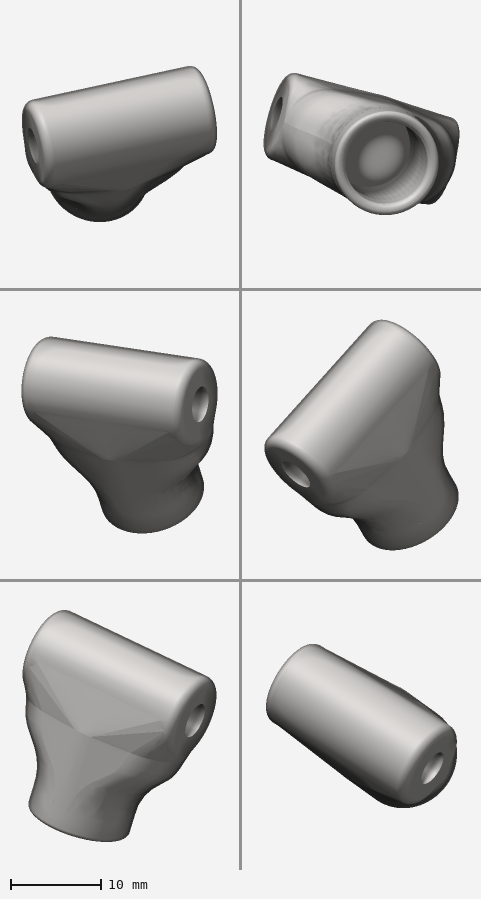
import cadquery as cq
import math

LEAN_ANGLE = 30.0

BARREL_RADIUS = 5.0
BARREL_LENGTH = 20.0
BARREL_FILLET = 1.0
PIN_HOLE_DIAMETER = 4.0

TUBE_RADIUS = 11.68 / 2
TUBE_END_DROP = 16.68
BORE_RADIUS = 9.14 / 2
BORE_TOP_DROP = BARREL_RADIUS

RIM_ROUND = 0.47
MOUTH_RADIUS = 4.93
MOUTH_DEPTH = 0.13
FLARE_RADIUS = 4.64
FLARE_DEPTH = 0.46
FLARE_END_DEPTH = 0.8

SHOULDER_DROP = 4.84
TAPER_SLOPE = 0.29
NECK_DROP = 13.9
NECK_FILLET = 6.7
CORNER_FILLET = 4.5
NECK_ANGLE = math.radians(42)
FLANK_SECTIONS = 12
END_RADIUS = 5.0
WING_INSET = 0.02
BISECTION_STEPS = 50
LAST_CONTACT_ANGLE = math.radians(89)
CONTACT_POINTS = 9
MIN_SIDE_OFFSET = 0.02

HALF_LENGTH = BARREL_LENGTH / 2
FULL_SIDE_OFFSET = HALF_LENGTH - END_RADIUS
TANGENT_SINE = (TUBE_RADIUS - END_RADIUS) / FULL_SIDE_OFFSET
TANGENT_ANGLE = math.asin(TANGENT_SINE)

FLANK_START_DROP = NECK_DROP - NECK_FILLET * math.sin(NECK_ANGLE)
FLANK_START_HALF = TUBE_RADIUS + NECK_FILLET * (1 - math.cos(NECK_ANGLE))
FLANK_SLOPE = math.tan(NECK_ANGLE)
CORNER_DROP = (
    FLANK_START_HALF + FLANK_SLOPE * FLANK_START_DROP - HALF_LENGTH - TAPER_SLOPE * SHOULDER_DROP
) / (FLANK_SLOPE - TAPER_SLOPE)
TAPER_ANGLE = math.atan(TAPER_SLOPE)
CORNER_TANGENT = CORNER_FILLET * math.tan((NECK_ANGLE - TAPER_ANGLE) / 2)
TAPER_END_DROP = CORNER_DROP - CORNER_TANGENT * math.cos(TAPER_ANGLE)
CORNER_END_DROP = CORNER_DROP + CORNER_TANGENT * math.cos(NECK_ANGLE)


def body_half_width(drop):
    """Half width along Y: straight taper, convex fillet, straight flank, concave fillet."""
    if drop <= TAPER_END_DROP:
        return HALF_LENGTH - TAPER_SLOPE * (drop - SHOULDER_DROP)
    if drop < CORNER_END_DROP:
        center_drop = TAPER_END_DROP - CORNER_FILLET * math.sin(TAPER_ANGLE)
        center_half = body_half_width(TAPER_END_DROP) - CORNER_FILLET * math.cos(TAPER_ANGLE)
        return center_half + math.sqrt(CORNER_FILLET**2 - (drop - center_drop) ** 2)
    if drop < FLANK_START_DROP:
        return FLANK_START_HALF + FLANK_SLOPE * (FLANK_START_DROP - drop)
    return TUBE_RADIUS + NECK_FILLET - math.sqrt(NECK_FILLET**2 - (NECK_DROP - drop) ** 2)


def arc_about(center_y, radius, start_angle, end_angle, drop):
    """Arc at a given drop about a point above the Y axis; angles run from +X to +Y."""
    points = []
    for angle in (start_angle, (start_angle + end_angle) / 2, end_angle):
        points.append(cq.Vector(radius * math.cos(angle), center_y + radius * math.sin(angle), -drop))
    return cq.Edge.makeThreePointArc(*points)


def side_arc(drop):
    """Arc from the tangent line to the +Y tip, on the +X side of a body section."""
    side_offset = max((body_half_width(drop) - TUBE_RADIUS) / (1 - TANGENT_SINE), MIN_SIDE_OFFSET)
    side_radius = TUBE_RADIUS - TANGENT_SINE * side_offset
    return arc_about(side_offset, side_radius, TANGENT_ANGLE, math.pi / 2, drop)


def front_arc(drop):
    """Arc of the tube circle between the tangent lines on the +X side."""
    return arc_about(0, TUBE_RADIUS, -TANGENT_ANGLE, TANGENT_ANGLE, drop)


def body_section(drop):
    """Wire of the tube circle and two side circles joined by tangent lines."""
    front = front_arc(drop)
    side = side_arc(drop)
    tangent_line = cq.Edge.makeLine(front.endPoint(), side.startPoint())
    corner = [tangent_line, side]
    near_half = [edge.mirror("XZ") for edge in reversed(corner)] + [front] + corner
    far_half = [edge.mirror("YZ") for edge in near_half]
    return cq.Wire.assembleEdges(near_half + far_half)


def contact_point(side_angle):
    """Point of the barrel end fillet touched by the plane that is tangent to the
    shoulder section at the given angle of its side arc."""
    ring_radius = BARREL_RADIUS - BARREL_FILLET
    fillet_y = HALF_LENGTH - BARREL_FILLET

    def normal_tilt(around):
        """Tilt of the plane's normal toward +Y, for a contact this far around the barrel."""
        return math.atan2(math.sin(side_angle) * math.cos(around), math.cos(side_angle))

    def clearance(around):
        """How far the shoulder section reaches beyond the barrel along that normal."""
        tilt = normal_tilt(around)
        shoulder_reach = (
            math.cos(tilt) * math.cos(around) * END_RADIUS * math.cos(side_angle)
            + math.sin(tilt) * (FULL_SIDE_OFFSET + END_RADIUS * math.sin(side_angle))
            + math.cos(tilt) * math.sin(around) * SHOULDER_DROP
        )
        barrel_reach = ring_radius * math.cos(tilt) + fillet_y * math.sin(tilt) + BARREL_FILLET
        return shoulder_reach - barrel_reach

    low = -math.pi / 6
    high = math.pi / 2.5
    for _ in range(BISECTION_STEPS):
        middle = (low + high) / 2
        if clearance(middle) < 0:
            low = middle
        else:
            high = middle
    tilt = normal_tilt(low)
    ring = ring_radius + (BARREL_FILLET - WING_INSET) * math.cos(tilt)
    y = fillet_y + (BARREL_FILLET - WING_INSET) * math.sin(tilt)
    return cq.Vector(ring * math.cos(low), y, -ring * math.sin(low))


def front_contact():
    """End of the barrel line touched by the plane tangent to the front of the shoulder section."""
    shoulder_distance = math.hypot(TUBE_RADIUS, SHOULDER_DROP)
    around = math.atan2(SHOULDER_DROP, TUBE_RADIUS) - math.acos(BARREL_RADIUS / shoulder_distance)
    radius = BARREL_RADIUS - WING_INSET
    return cq.Vector(radius * math.cos(around), HALF_LENGTH - BARREL_FILLET, -radius * math.sin(around))


def flip(point, x_sign, y_sign):
    return cq.Vector(x_sign * point.x, y_sign * point.y, point.z)


def polygon_face(*points):
    return cq.Face.makeFromWires(cq.Wire.makePolygon(list(points), close=True))


def make_barrel():
    return (
        cq.Workplane("XZ")
        .circle(BARREL_RADIUS)
        .extrude(HALF_LENGTH, both=True)
        .faces("<Y or >Y")
        .edges()
        .fillet(BARREL_FILLET)
    )


def make_wing():
    """Solid whose skin wraps tightly from the barrel to the shoulder section."""
    contacts = []
    for index in range(CONTACT_POINTS):
        angle = TANGENT_ANGLE + (LAST_CONTACT_ANGLE - TANGENT_ANGLE) * index / (CONTACT_POINTS - 1)
        contacts.append(contact_point(angle))
    contact_curve = cq.Edge.makeSpline(contacts)
    start = contacts[0]
    end = contacts[-1]
    line_end = front_contact()
    front = front_arc(SHOULDER_DROP)
    side = side_arc(SHOULDER_DROP)

    quarter = [
        polygon_face(line_end, front.endPoint(), start),
        polygon_face(start, front.endPoint(), side.startPoint()),
        cq.Face.makeRuledSurface(contact_curve, side),
    ]
    barrel_line = cq.Edge.makeLine(flip(line_end, 1, -1), line_end)
    across = [
        cq.Face.makeRuledSurface(barrel_line, front),
        polygon_face(line_end, start, flip(start, 1, -1), flip(line_end, 1, -1)),
        cq.Face.makeRuledSurface(contact_curve.mirror("XZ"), contact_curve),
    ]
    x_side = quarter + [face.mirror("XZ") for face in quarter] + across
    end_face = polygon_face(end, side.endPoint(), flip(end, -1, 1))
    faces = x_side + [face.mirror("YZ") for face in x_side]
    faces += [end_face, end_face.mirror("XZ")]
    faces.append(polygon_face(end, flip(end, -1, 1), flip(end, -1, -1), flip(end, 1, -1)))
    faces.append(cq.Face.makeFromWires(body_section(SHOULDER_DROP)))
    return cq.Solid.makeSolid(cq.Shell.makeShell(faces)).fix()


def make_body():
    flank = []
    for index in range(FLANK_SECTIONS):
        drop = TAPER_END_DROP + (NECK_DROP - TAPER_END_DROP) * index / (FLANK_SECTIONS - 1)
        flank.append(body_section(drop))
    taper = cq.Solid.makeLoft([body_section(SHOULDER_DROP), flank[0]], True)
    lower = cq.Solid.makeLoft(flank, False)
    return cq.Workplane(make_wing()).union(cq.Workplane(taper)).union(cq.Workplane(lower))


def make_tube():
    """Solid tube with a rounded rim, overlapping the lower part of the body."""
    return (
        cq.Workplane("XY", origin=(0, 0, -TUBE_END_DROP))
        .circle(TUBE_RADIUS)
        .extrude(TUBE_END_DROP - SHOULDER_DROP)
        .faces("<Z")
        .edges()
        .fillet(RIM_ROUND)
    )


def make_bore():
    """Blind bore with its flared mouth, revolved about the tube axis."""
    rim_radius = TUBE_RADIUS - RIM_ROUND
    mouth_mid = ((rim_radius + MOUTH_RADIUS) / 2, MOUTH_DEPTH / 4 - TUBE_END_DROP)
    return (
        cq.Workplane("XZ")
        .moveTo(0, -BORE_TOP_DROP)
        .lineTo(BORE_RADIUS, -BORE_TOP_DROP)
        .lineTo(BORE_RADIUS, FLARE_END_DEPTH - TUBE_END_DROP)
        .lineTo(FLARE_RADIUS, FLARE_DEPTH - TUBE_END_DROP)
        .lineTo(MOUTH_RADIUS, MOUTH_DEPTH - TUBE_END_DROP)
        .threePointArc(mouth_mid, (rim_radius, -TUBE_END_DROP))
        .lineTo(0, -TUBE_END_DROP)
        .close()
        .revolve(360, (0, 0, 0), (0, 1, 0))
    )


def make_pin_hole():
    return cq.Workplane("XZ").circle(PIN_HOLE_DIAMETER / 2).extrude(BARREL_LENGTH, both=True)


solid = make_barrel().union(make_body()).union(make_tube())
solid = solid.cut(make_bore()).cut(make_pin_hole())
result = solid.rotate((0, 0, 0), (0, 1, 0), LEAN_ANGLE)